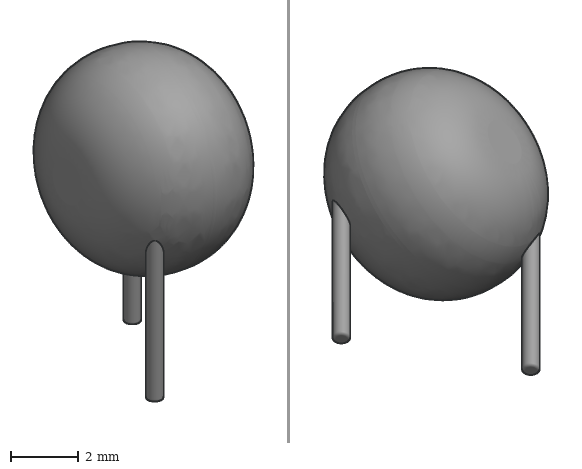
import cadquery as cq

total_height = 10.03
body_diameter = 7.0
body_thickness = 5.7
edge_radius = 2.78

lead_diameter = 0.54
lead_offset_x = 2.5
lead_offset_y = 1.49
tip_rounding = 0.1

body_center_z = body_diameter / 2
lead_bottom_z = body_diameter - total_height


def make_body():
    """Disc whose large edge fillets leave a thin rim and small flat faces."""
    disc = cq.Workplane("XZ").circle(body_diameter / 2).extrude(body_thickness)
    return disc.edges().fillet(edge_radius).translate((0, body_thickness / 2, body_center_z))


def make_lead(x, y):
    """Vertical wire with a rounded tip, ending inside the body at its mid height."""
    wire = cq.Workplane("XY").circle(lead_diameter / 2).extrude(body_center_z - lead_bottom_z)
    return wire.faces("<Z").edges().fillet(tip_rounding).translate((x, y, lead_bottom_z))


result = make_body()
for side in (-1, 1):
    result = result.union(make_lead(side * lead_offset_x, -side * lead_offset_y))